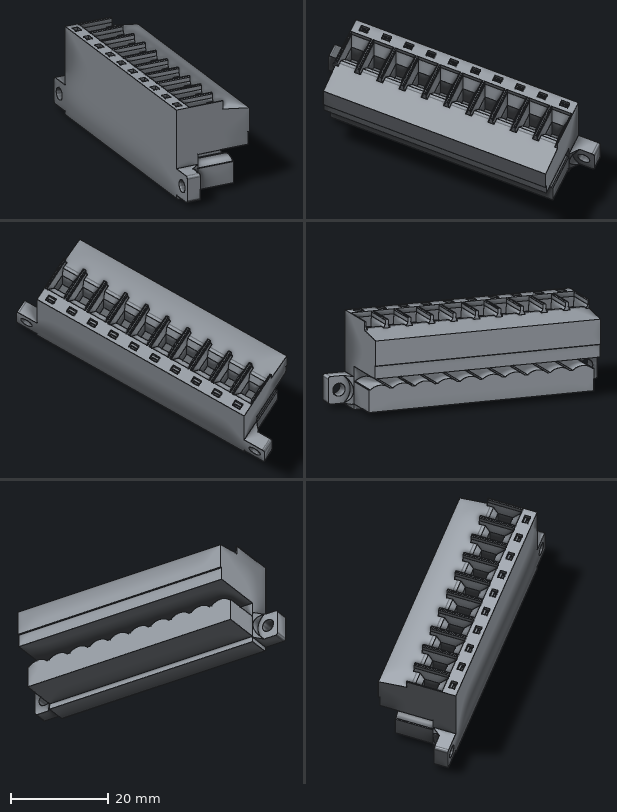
import cadquery as cq


total_length = 59.8
poles = 10
body_length = 50.0
pitch = body_length / poles
height = 20.1

front_wall = 5.0
depth = 17.0
step_y = 10.75
step_z = 18.25
back_top_z = 17.35
back_notch_z = 11.95
back_notch_depth = 0.35
housing_bottom_z = 9.2
bottom_chamfer = 0.35

plug_back_y = 13.3
plug_bottom_z = 1.25
plug_flat_z = 6.05
plug_top_z = 6.9
plug_flat = 0.3

ear_bottom_z = 1.1
ear_height = 5.9
ear_depth = 3.05
ear_fillet = 0.55
ear_hole_diameter = 2.7
ear_hole_from_end = 2.4
gusset_length = 1.55
clearance_radius = 3.6
clearance_x = 28.65

rail_depth = 3.05
rib_top_width = 0.3
rib_width = 0.7
rib_slope_z = 19.9
funnel_top_z = 19.0
funnel_bottom_z = 17.35
hole_width = 2.7
hole_front_y = 4.95
hole_back_y = 8.2
hole_bottom_z = 12.55
ledge_front_y = 9.3
ledge_back_y = 10.05

slot_width = 1.8
slot_depth_y = 1.25
slot_y = 1.5
slot_recess = 0.8
inner_slot_width = 1.25
inner_slot_depth_y = 0.5
inner_slot_y = 1.4
inner_slot_recess = 0.35

top_slope = (step_z - back_top_z) / (depth - step_y)
ledge_z = step_z + top_slope * (step_y - ledge_back_y)
pole_centres = [(i - (poles - 1) / 2) * pitch for i in range(poles)]


def box(x_min, x_max, y_min, y_max, z_min, z_max):
    size = (x_max - x_min, y_max - y_min, z_max - z_min)
    return cq.Workplane("XY").box(*size, centered=False).translate((x_min, y_min, z_min))


def along_y(outline, y_min, y_max):
    """Extrude a closed outline given on the XZ plane from y_min to y_max."""
    return outline.extrude(y_min - y_max).translate((0, y_min, 0))


def make_body():
    profile = [
        (bottom_chamfer, 0),
        (front_wall, 0),
        (front_wall, housing_bottom_z),
        (depth - back_notch_depth, housing_bottom_z),
        (depth - back_notch_depth, back_notch_z),
        (depth, back_notch_z),
        (depth, back_top_z),
        (step_y, step_z),
        (step_y, height),
        (0, height),
        (0, bottom_chamfer),
    ]
    return cq.Workplane("YZ").polyline(profile).close().extrude(body_length / 2, both=True)


def make_plug():
    """Row of plug fingers, each with an arched top between two narrow flats."""
    half = body_length / 2
    outline = cq.Workplane("XZ").moveTo(-half, plug_bottom_z).lineTo(-half, plug_flat_z)
    for x in pole_centres:
        arch_half = pitch / 2 - plug_flat
        outline = outline.lineTo(x - arch_half, plug_flat_z)
        outline = outline.threePointArc((x, plug_top_z), (x + arch_half, plug_flat_z))
    outline = outline.lineTo(half, plug_flat_z).lineTo(half, plug_bottom_z).close()
    return along_y(outline, front_wall, plug_back_y)


def make_left_ear():
    """Ear with a hole, joined to the body by a hollowed gusset."""
    end_x = -total_length / 2
    body_x = -body_length / 2
    middle_z = ear_bottom_z + ear_height / 2
    top_z = ear_bottom_z + ear_height
    ear = box(end_x, body_x, 0, ear_depth, ear_bottom_z, top_z).edges("|Y and <X").fillet(ear_fillet)
    gusset_points = [(body_x - gusset_length, ear_depth), (body_x, front_wall), (body_x, ear_depth)]
    gusset = cq.Workplane("XY").polyline(gusset_points).close().extrude(ear_height)
    gusset = gusset.translate((0, 0, ear_bottom_z))
    hollow = cq.Workplane("XZ").center(-clearance_x, middle_z).circle(clearance_radius)
    gusset = gusset.cut(along_y(hollow, ear_depth, front_wall))
    hole = cq.Workplane("XZ").center(end_x + ear_hole_from_end, middle_z).circle(ear_hole_diameter / 2)
    return ear.cut(along_y(hole, 0, ear_depth)).union(gusset)


def make_wire_funnel():
    """Cutter for one pole: gap between ribs, tapered funnel and square hole."""
    gap_half = (pitch - rib_width) / 2
    gap_top_half = (pitch - rib_top_width) / 2
    hole_half = hole_width / 2
    ledge_share = (ledge_z - funnel_bottom_z) / (funnel_top_z - funnel_bottom_z)
    funnel_back_y = hole_back_y + (ledge_front_y - hole_back_y) / ledge_share

    gap_points = [
        (-gap_half, funnel_top_z),
        (-gap_half, rib_slope_z),
        (-gap_top_half, height),
        (gap_top_half, height),
        (gap_half, rib_slope_z),
        (gap_half, funnel_top_z),
    ]
    gap = along_y(cq.Workplane("XZ").polyline(gap_points).close(), rail_depth, step_y)

    ledge_half = hole_half + (gap_half - hole_half) * ledge_share
    trough_points = [
        (-gap_half, funnel_top_z),
        (gap_half, funnel_top_z),
        (ledge_half, ledge_z),
        (-ledge_half, ledge_z),
    ]
    trough = along_y(cq.Workplane("XZ").polyline(trough_points).close(), ledge_front_y, step_y)
    ramp_points = [(ledge_back_y, ledge_z), (step_y, ledge_z), (step_y, step_z)]
    ramp = cq.Workplane("YZ").polyline(ramp_points).close().extrude(ledge_half, both=True)

    funnel = (
        cq.Workplane("XY", origin=(0, 0, funnel_bottom_z))
        .polyline([(-hole_half, hole_front_y), (hole_half, hole_front_y),
                   (hole_half, hole_back_y), (-hole_half, hole_back_y)])
        .close()
        .workplane(offset=funnel_top_z - funnel_bottom_z)
        .polyline([(-gap_half, rail_depth), (gap_half, rail_depth),
                   (gap_half, funnel_back_y), (-gap_half, funnel_back_y)])
        .close()
        .loft(ruled=True)
    )
    hole = box(-hole_half, hole_half, hole_front_y, hole_back_y, hole_bottom_z, funnel_bottom_z)
    return gap.union(trough).union(ramp).union(funnel).union(hole)


def make_test_slot():
    """Cutter for one stepped slot in the front strip."""
    shelf_z = height - slot_recess
    outer = cq.Workplane("XY").rect(slot_width, slot_depth_y).extrude(slot_recess)
    inner = cq.Workplane("XY").rect(inner_slot_width, inner_slot_depth_y).extrude(-inner_slot_recess)
    return outer.translate((0, slot_y, shelf_z)).union(inner.translate((0, inner_slot_y, shelf_z)))


left_ear = make_left_ear()
result = make_body().union(make_plug()).union(left_ear).union(left_ear.mirror("YZ"))

pole_cutter = make_wire_funnel().union(make_test_slot())
for x in pole_centres:
    result = result.cut(pole_cutter.translate((x, 0, 0)))